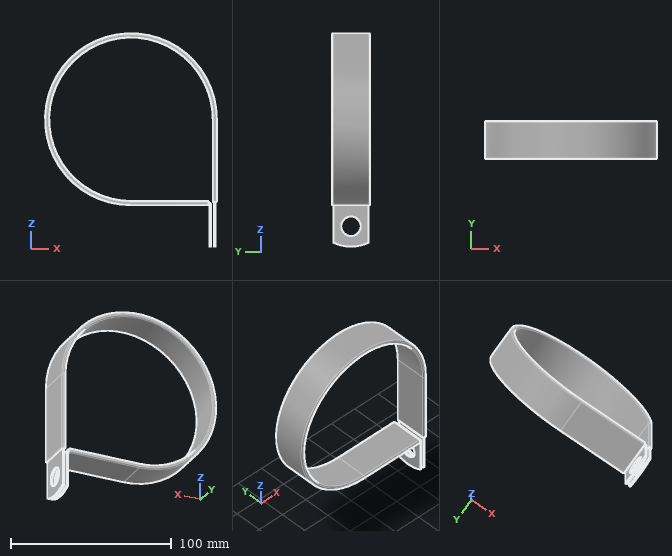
import cadquery as cq
import math

OUTER_RADIUS = 53.6
TOTAL_HEIGHT = 133.0

STRAP_THICKNESS = 1.2
STRAP_WIDTH = 22.1
LINER_WALL = 0.8
LINER_WIDTH = 23.8
LINER_EDGE_RADIUS = 0.78
TAB_GAP = 1.6
BEND_INNER_RADIUS = 0.8
LINER_FOOT_END_X = 48.4
LINER_LEG_END_Z = -51.6

HOLE_DIAMETER = 12.0
HOLE_CENTER_Z = -66.6
TAB_END_RISE = 2.5

BOTTOM_Z = OUTER_RADIUS - TOTAL_HEIGHT
LINER_INNER_RADIUS = OUTER_RADIUS - STRAP_THICKNESS - 2 * LINER_WALL
LINER_MID_RADIUS = (OUTER_RADIUS + LINER_INNER_RADIUS) / 2
STRAP_OUTER_RADIUS = OUTER_RADIUS - LINER_WALL
STRAP_INNER_RADIUS = STRAP_OUTER_RADIUS - STRAP_THICKNESS
INNER_TAB_OUTER_X = STRAP_INNER_RADIUS - TAB_GAP
INNER_TAB_INNER_X = INNER_TAB_OUTER_X - STRAP_THICKNESS


def extrude_centered(profile, width):
    """Extrude an XZ profile by width, symmetric about Y = 0."""
    return profile.extrude(width / 2, both=True)


def loop_band(outer, inner, leg_end_z, foot_end_x, width):
    """Three-quarter ring with a straight leg going down and a foot going right."""
    diagonal = math.sqrt(0.5)
    profile = (
        cq.Workplane("XZ")
        .moveTo(outer, leg_end_z)
        .lineTo(outer, 0)
        .threePointArc((-outer * diagonal, outer * diagonal), (0, -outer))
        .lineTo(foot_end_x, -outer)
        .lineTo(foot_end_x, -inner)
        .lineTo(0, -inner)
        .threePointArc((-inner * diagonal, inner * diagonal), (inner, 0))
        .lineTo(inner, leg_end_z)
        .close()
    )
    return extrude_centered(profile, width)


def make_liner():
    band = loop_band(OUTER_RADIUS, LINER_INNER_RADIUS, LINER_LEG_END_Z, LINER_FOOT_END_X, LINER_WIDTH)
    foot_end = cq.selectors.NearestToPointSelector((LINER_FOOT_END_X, 0, -LINER_MID_RADIUS))
    leg_end = cq.selectors.NearestToPointSelector((LINER_MID_RADIUS, 0, LINER_LEG_END_Z))
    side_rims = cq.selectors.StringSyntaxSelector("<Y or >Y")
    return band.faces(side_rims + foot_end + leg_end).edges().fillet(LINER_EDGE_RADIUS)


def make_bent_tab():
    """Inner tab, bent down from the end of the foot."""
    foot_end_x = INNER_TAB_INNER_X - BEND_INNER_RADIUS
    bend_center_z = -STRAP_OUTER_RADIUS - BEND_INNER_RADIUS
    bend_outer_radius = BEND_INNER_RADIUS + STRAP_THICKNESS
    profile = (
        cq.Workplane("XZ")
        .moveTo(foot_end_x, -STRAP_INNER_RADIUS)
        .radiusArc((INNER_TAB_OUTER_X, bend_center_z), bend_outer_radius)
        .lineTo(INNER_TAB_OUTER_X, BOTTOM_Z)
        .lineTo(INNER_TAB_INNER_X, BOTTOM_Z)
        .lineTo(INNER_TAB_INNER_X, bend_center_z)
        .radiusArc((foot_end_x, -STRAP_OUTER_RADIUS), -BEND_INNER_RADIUS)
        .close()
    )
    return extrude_centered(profile, STRAP_WIDTH)


def make_strap():
    bend_start_x = INNER_TAB_INNER_X - BEND_INNER_RADIUS
    band = loop_band(STRAP_OUTER_RADIUS, STRAP_INNER_RADIUS, BOTTOM_Z, bend_start_x, STRAP_WIDTH)
    strap = band.union(make_bent_tab())

    half_width = STRAP_WIDTH / 2
    end_outline = (
        cq.Workplane("YZ")
        .moveTo(-half_width, OUTER_RADIUS)
        .lineTo(-half_width, BOTTOM_Z + TAB_END_RISE)
        .threePointArc((0, BOTTOM_Z), (half_width, BOTTOM_Z + TAB_END_RISE))
        .lineTo(half_width, OUTER_RADIUS)
        .close()
        .extrude(OUTER_RADIUS, both=True)
    )
    hole = (
        cq.Workplane("YZ")
        .center(0, HOLE_CENTER_Z)
        .circle(HOLE_DIAMETER / 2)
        .extrude(OUTER_RADIUS)
    )
    return strap.intersect(end_outline).cut(hole)


result = make_liner().union(make_strap())